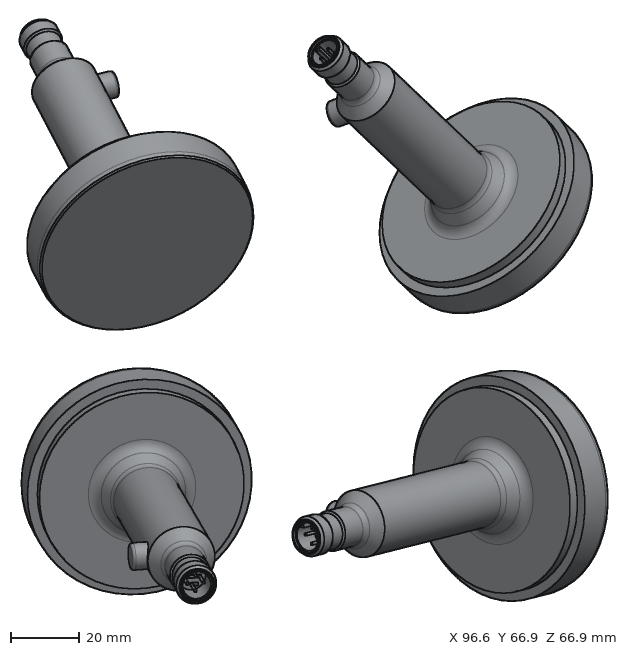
import cadquery as cq
import math

total_length = 96.6

lip_diameter = 10.4
lip_length = 0.7
plug_diameter = 12.0
groove_diameter = 10.8
groove_start = 5.3
groove_end = 10.8
groove_bevel = (plug_diameter - groove_diameter) / 2
lead_in_end = lip_length + (plug_diameter - lip_diameter) / 2

shaft_diameter = 20.0
neck_start = 18.45
neck_radius = 2.9
neck_angle = math.radians(45)

foot_start = 74.9
foot_radius = 4.0
foot_angle = math.radians(30)

step_diameter = 61.0
step_start = 82.4
flange_diameter = 66.9
flange_start = 85.6
taper_start = 94.7
taper_depth = 0.3
rim_chamfer = 0.5

mouth_diameter = 9.5
mouth_depth = 1.0
socket_diameter = 8.4
socket_depth = 8.7
pin_diameter = 0.9
pin_circle_radius = 2.4
pin_count = 4
pin_tip = 2.7
key_corner_offset = 2.2
key_start = 1.7

rib_height = 0.5
side_rib_end = -1.9

root = 0.5

button_diameter = 8.0
button_position = 28.4
button_top = 14.3
button_rounding = 0.9


def arc_from_axis(start, radius, angle):
    """Middle and end of a concave arc that leaves parallel to X and turns outward by angle."""
    x, r = start
    return [
        (x + radius * math.sin(turn), r + radius * (1 - math.cos(turn)))
        for turn in (angle / 2, angle)
    ]


def make_body():
    plug_r = plug_diameter / 2
    groove_r = groove_diameter / 2
    shaft_r = shaft_diameter / 2
    flange_r = flange_diameter / 2
    taper_r = flange_r - taper_depth

    neck_mid, neck_end = arc_from_axis((neck_start, plug_r), neck_radius, neck_angle)
    cone_end_x = neck_end[0] + (shaft_r - neck_end[1]) / math.tan(neck_angle)

    foot_mid, foot_end = arc_from_axis((foot_start, shaft_r), foot_radius, foot_angle)
    fillet_x = step_start - foot_radius
    fillet_start_x = fillet_x + foot_radius * math.sin(foot_angle)
    fillet_start_r = foot_end[1] + (fillet_start_x - foot_end[0]) * math.tan(foot_angle)
    fillet_end_r = fillet_start_r + foot_radius * math.cos(foot_angle)
    fillet_mid_angle = (foot_angle + math.pi / 2) / 2
    fillet_mid = (
        fillet_x + foot_radius * math.sin(fillet_mid_angle),
        fillet_end_r - foot_radius * math.cos(fillet_mid_angle),
    )

    profile = (
        cq.Workplane("XY")
        .moveTo(0, 0)
        .lineTo(0, lip_diameter / 2)
        .lineTo(lip_length, lip_diameter / 2)
        .lineTo(lead_in_end, plug_r)
        .lineTo(groove_start, plug_r)
        .lineTo(groove_start + groove_bevel, groove_r)
        .lineTo(groove_end - groove_bevel, groove_r)
        .lineTo(groove_end, plug_r)
        .lineTo(neck_start, plug_r)
        .threePointArc(neck_mid, neck_end)
        .lineTo(cone_end_x, shaft_r)
        .lineTo(foot_start, shaft_r)
        .threePointArc(foot_mid, foot_end)
        .lineTo(fillet_start_x, fillet_start_r)
        .threePointArc(fillet_mid, (step_start, fillet_end_r))
        .lineTo(step_start, step_diameter / 2)
        .lineTo(flange_start, step_diameter / 2)
        .lineTo(flange_start, flange_r)
        .lineTo(taper_start, flange_r)
        .lineTo(total_length - rim_chamfer, taper_r)
        .lineTo(total_length, taper_r - rim_chamfer)
        .lineTo(total_length, 0)
        .close()
    )
    return profile.revolve(360, (0, 0, 0), (1, 0, 0))


def make_button():
    button = cq.Workplane("XZ").center(button_position, 0).circle(button_diameter / 2).extrude(-button_top)
    return button.faces(">Y").edges().fillet(button_rounding)


def x_cylinder(start, end, diameter):
    return cq.Workplane("YZ", origin=(start, 0, 0)).circle(diameter / 2).extrude(end - start)


def make_socket():
    mouth = x_cylinder(0, mouth_depth, mouth_diameter)
    return mouth.union(x_cylinder(0, socket_depth, socket_diameter))


def make_pins():
    return (
        cq.Workplane("YZ", origin=(pin_tip, 0, 0))
        .polarArray(pin_circle_radius, 0, 360, pin_count)
        .circle(pin_diameter / 2)
        .extrude(socket_depth + root - pin_tip)
    )


def make_floor_rib(y_low, y_high, z):
    return (
        cq.Workplane("XY")
        .box(rib_height + root, y_high - y_low, pin_diameter, centered=(False, False, True))
        .translate((socket_depth - rib_height, y_low, z))
    )


def make_floor_ribs():
    pin_r = pin_diameter / 2
    middle_end = pin_circle_radius + pin_r
    ribs = make_floor_rib(-middle_end, middle_end, 0)
    for z in (-pin_circle_radius, pin_circle_radius):
        ribs = ribs.union(make_floor_rib(side_rib_end, pin_r, z))
    return ribs


def make_key():
    """Square corner reaching in from the socket wall, between the +Y and +Z pins."""
    corner = (
        cq.Workplane("YZ", origin=(key_start, key_corner_offset, key_corner_offset))
        .rect(socket_diameter, socket_diameter, centered=False)
        .extrude(socket_depth + root - key_start)
    )
    return corner.intersect(x_cylinder(key_start, socket_depth + root, socket_diameter + root))


result = (
    make_body()
    .union(make_button())
    .cut(make_socket())
    .union(make_pins())
    .union(make_floor_ribs())
    .union(make_key())
    .solids()
)